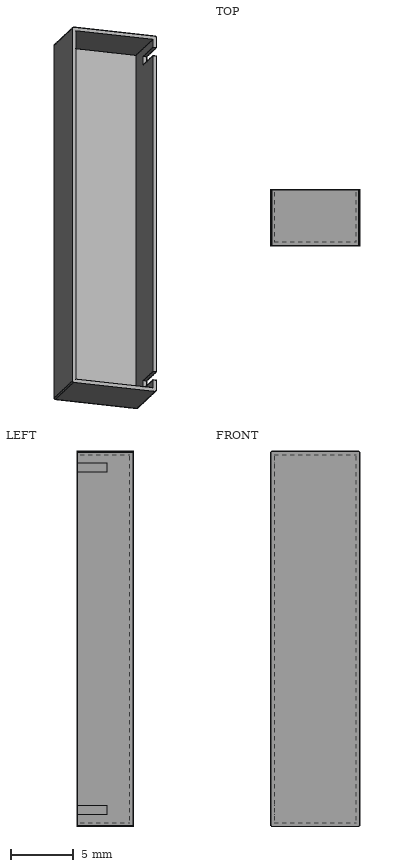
import cadquery as cq

width = 7.12
depth = 4.5
height = 30.0

wall = 0.3

edge_bevel = 0.1

slot_height = 0.7
slot_length = 2.4
slot_end_distance = 1.32


def make_shell():
    """Thin-walled box, bevelled at the ends of its side walls and open at the rear."""
    block = cq.Workplane("XY").box(width, depth, height)
    block = block.edges("|Y").chamfer(edge_bevel)
    cavity = cq.Workplane("XY").box(width - 2 * wall, depth, height - 2 * wall)
    return block.cut(cavity.translate((0, wall, 0)))


def make_slot(z_center):
    """Cutter for one slot through the -X wall, running in from the rear rim."""
    cutter = cq.Workplane("XY").box(2 * wall, slot_length, slot_height)
    return cutter.translate((-width / 2, (depth - slot_length) / 2, z_center))


result = make_shell()
slot_offset = height / 2 - slot_end_distance
for side in (-1, 1):
    result = result.cut(make_slot(side * slot_offset))